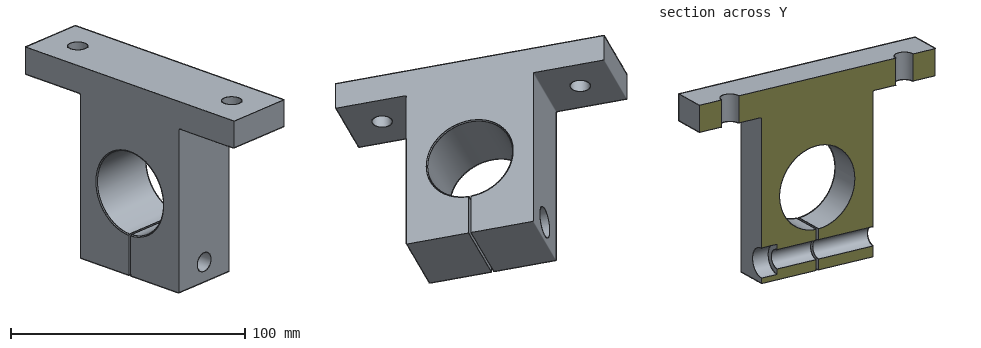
import cadquery as cq

length = 120.6
thickness = 31.7
height = 88.9

flange_height = 12.7
post_width = 57.1
corner_radius = 0.6
edge_radius = 0.5

bore_diameter = 38.1
bore_chamfer = 0.5
bore_drop = 50.8
slit_width = 1.1

mount_diameter = 8.7
mount_spacing = 88.9

screw_diameter = 8.7
head_diameter = 13.6
head_depth = 8.0
screw_height = 9.5

bore_z = height - bore_drop


def make_body():
    """T-shaped block with rounded inner corners and rounded lower outer edges."""
    flange = cq.Workplane("XY").box(length, thickness, flange_height, centered=(True, True, False))
    flange = flange.translate((0, 0, height - flange_height))
    post = cq.Workplane("XY").box(post_width, thickness, height, centered=(True, True, False))
    body = flange.union(post)
    inner_corners = cq.selectors.BoxSelector(
        (-post_width / 2 - corner_radius, -thickness, height - flange_height - corner_radius),
        (post_width / 2 + corner_radius, thickness, height - flange_height + corner_radius),
    )
    body = body.edges("|Y").edges(inner_corners).fillet(corner_radius)
    flange_lower_edges = body.edges("|Y").edges("<X or >X").edges("<Z")
    body = flange_lower_edges.fillet(edge_radius)
    return body.faces("<Z").edges("|Y").fillet(edge_radius)


def cut_shaft_bore(body):
    """Through bore along Y, chamfered at both mouths."""
    body = body.cut(
        cq.Workplane("XZ").center(0, bore_z).circle(bore_diameter / 2).extrude(thickness / 2, both=True)
    )
    return body.faces("<Y or >Y").edges("%CIRCLE").edges(
        cq.selectors.RadiusNthSelector(-1)
    ).chamfer(bore_chamfer)


def cut_clamp_slit(body):
    """Slit from the bore down through the bottom of the post."""
    slit = cq.Workplane("XY").box(slit_width, thickness, bore_z, centered=(True, True, False))
    return body.cut(slit)


def cut_mount_holes(body):
    """Pair of vertical through holes in the flange."""
    for x in (-mount_spacing / 2, mount_spacing / 2):
        hole = cq.Workplane("XY").center(x, 0).circle(mount_diameter / 2).extrude(height)
        body = body.cut(hole)
    return body


def cut_clamp_screw(body):
    """Counterbored hole across both clamp jaws."""
    entry = cq.Workplane("YZ", origin=(-post_width / 2, 0, screw_height))
    body = body.cut(entry.circle(screw_diameter / 2).extrude(post_width))
    return body.cut(entry.circle(head_diameter / 2).extrude(head_depth))


result = make_body()
result = cut_shaft_bore(result)
result = cut_clamp_slit(result)
result = cut_mount_holes(result)
result = cut_clamp_screw(result)